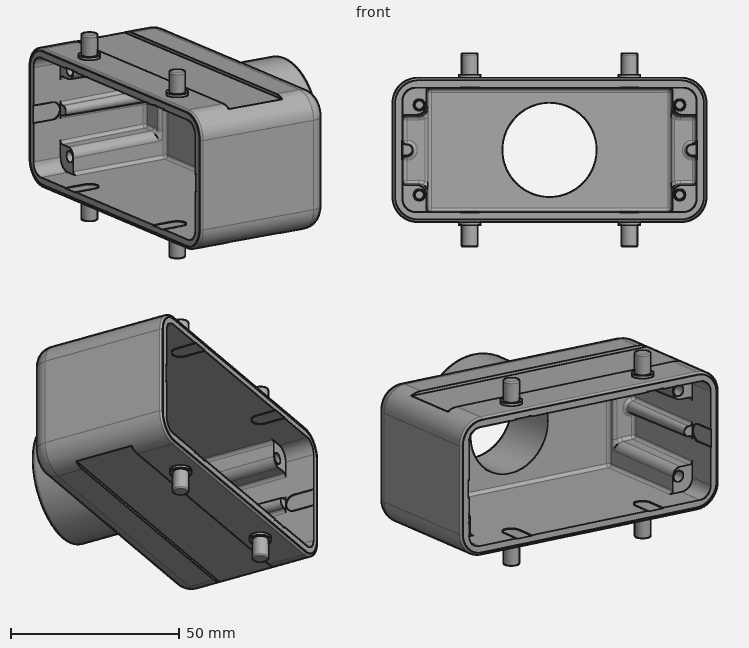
import cadquery as cq
import math

hood_width = 93.5
hood_height = 43.0
hood_depth = 45.0
corner_radius = 7.7
back_radius = 5.0
rim_radius = 0.6
lip_height = 0.2
lip_inset = 0.8

total_depth = 61.0
spout_diameter = 37.0
bore_diameter = 28.0
spout_tip_radius = 0.9
spout_root_radius = 0.8

wall_draft = 0.5
post_draft = 1.0
wall = 3.0
mouth_radius = 3.9
post_face_depth = 9.5
pocket_depth = 39.6
floor_depth = hood_depth - wall
chamber_width = 73.7
pocket_height = 21.3
inner_radius = 1.0
post_radius = 2.7
mouth_width = hood_width - 2 * wall
mouth_height = hood_height - 2 * wall

screw_x = 38.7
screw_z = 13.4
screw_diameter = 3.5
screw_depth = 23.4

rib_x = 42.4
rib_diameter = 3.2
rib_base_diameter = 3.8

total_height = 57.5
pin_x = 23.75
pin_y = 6.7
pin_diameter = 4.9
pin_tip_radius = 0.5
collar_diameter = 6.5
collar_height = 0.8
slot_width = 5.4
slot_recess = 0.2

label_width = 85.3
label_front = 12.8
label_back = 31.7
label_recess = 0.9


def depth_plane(y):
    """Plane across the hood at depth y, extruding toward the back."""
    return cq.Workplane(cq.Plane(origin=(0, y, 0), xDir=(1, 0, 0), normal=(0, 1, 0)))


def drafted_block(width, height, depth):
    """Rectangle at the rim, narrowing with the post draft down to depth."""
    return depth_plane(0).rect(width, height).extrude(depth, taper=post_draft)


def walled_block(depth):
    """Full opening at the rim, narrowing with the wall draft down to depth."""
    opening = cq.Sketch().rect(mouth_width, mouth_height).vertices().fillet(mouth_radius)
    return depth_plane(0).placeSketch(opening).extrude(depth, taper=wall_draft)


def mirrored_x(half):
    """The feature together with its mirror image in X."""
    return half.union(half.mirror("YZ"))


def edges_near(corner_a, corner_b):
    """Select the edges that lie wholly inside a box."""
    return cq.selectors.BoxSelector(corner_a, corner_b, boundingbox=True)


def make_shell():
    """Rounded hood with a raised lip at the rim and the spout blended into its back."""
    hood = depth_plane(lip_height).rect(hood_width, hood_height).extrude(hood_depth - lip_height)
    hood = hood.edges("|Y").fillet(corner_radius)
    hood = hood.faces(">Y").edges().fillet(back_radius)
    hood = hood.faces("<Y").edges().fillet(rim_radius)

    lip_outline = cq.Sketch().rect(hood_width - 2 * lip_inset, hood_height - 2 * lip_inset)
    lip_outline = lip_outline.vertices().fillet(corner_radius - lip_inset)
    lip = depth_plane(0).placeSketch(lip_outline).extrude(2 * lip_height)

    spout_start = hood_depth - back_radius
    spout = depth_plane(spout_start).circle(spout_diameter / 2).extrude(total_depth - spout_start)
    spout = spout.faces(">Y").edges().fillet(spout_tip_radius)

    reach = spout_diameter / 2 + 0.9
    root = edges_near((-reach, spout_start, -reach), (reach, hood_depth + 0.1, reach))
    return hood.union(spout).edges(root).fillet(spout_root_radius).union(lip)


def make_rib():
    """Half-round rib on the right end wall, thickening toward the pocket floor."""
    rib_length = pocket_depth - post_face_depth
    base_radius = rib_base_diameter / 2
    rib_draft = math.degrees(math.atan((rib_base_diameter - rib_diameter) / 2 / rib_length))
    outline = (
        depth_plane(pocket_depth)
        .moveTo(hood_width / 2, base_radius)
        .lineTo(rib_x, base_radius)
        .threePointArc((rib_x - base_radius, 0), (rib_x, -base_radius))
        .lineTo(hood_width / 2, -base_radius)
        .close()
    )
    return outline.extrude(-rib_length, taper=rib_draft)


def make_cavity():
    """Solid to remove from inside the hood; what it leaves are the posts, ledges and ribs."""
    chamber = walled_block(floor_depth).intersect(drafted_block(chamber_width, hood_height, floor_depth))
    chamber = chamber.edges("not(<Y or >Y)").fillet(inner_radius)
    chamber = chamber.faces(">Y").edges().fillet(inner_radius)
    pockets = walled_block(pocket_depth).intersect(drafted_block(hood_width, pocket_height, pocket_depth))
    pockets = pockets.edges("not(<Y or >Y)").fillet(inner_radius)
    cavity = chamber.union(pockets)

    x, z = chamber_width / 2, pocket_height / 2
    for side_x in (-1, 1):
        for side_z in (-1, 1):
            post_edge = edges_near(
                (side_x * (x - 0.9), -0.9, side_z * (z - 0.9)),
                (side_x * (x + 0.9), pocket_depth + 0.9, side_z * (z + 0.9)),
            )
            cavity = cavity.edges(post_edge).fillet(post_radius)

    front = depth_plane(0).rect(hood_width, hood_height).extrude(post_face_depth)
    cavity = cavity.cut(front).cut(mirrored_x(make_rib()))
    for side in (-1, 1):
        rib_roots = edges_near(
            (side * (rib_x + 0.9), post_face_depth - 0.1, -rib_diameter),
            (side * hood_width / 2, pocket_depth + 0.1, rib_diameter),
        )
        pocket_floor = edges_near(
            (side * (x - 1.9), pocket_depth - 0.1, -z - post_radius),
            (side * hood_width / 2, pocket_depth + 0.1, z + post_radius),
        )
        cavity = cavity.edges(rib_roots + pocket_floor).fillet(inner_radius)
    return cavity.union(walled_block(post_face_depth))


def make_screw_holes():
    """Blind holes in the post faces, narrowing with the post draft."""
    places = [(sx * screw_x, sz * screw_z) for sx in (-1, 1) for sz in (-1, 1)]
    start = depth_plane(post_face_depth).pushPoints(places).circle(screw_diameter / 2)
    return start.extrude(screw_depth, taper=post_draft)


def at_four_pins(feature):
    """Repeat an upper right feature at all four pin places."""
    pair = mirrored_x(feature)
    return pair.union(pair.mirror("XY"))


def make_label_recesses():
    """Shallow bands to remove from the upper and lower faces."""
    label_height = hood_height - 2 * label_recess
    band = (
        cq.Workplane("XY")
        .box(label_width, label_back - label_front, hood_height)
        .cut(cq.Workplane("XY").box(label_width, label_back - label_front, label_height))
    )
    return band.translate((0, (label_front + label_back) / 2, 0))


def make_pin():
    """Upper right locking pin with its collar, rooted in the wall."""
    base = hood_height / 2 - wall / 2
    top = total_height / 2
    start = cq.Workplane("XY", origin=(pin_x, pin_y, base))
    pin = start.circle(pin_diameter / 2).extrude(top - base).faces(">Z").edges().fillet(pin_tip_radius)
    collar = start.circle(collar_diameter / 2).extrude(hood_height / 2 + collar_height - base)
    return pin.union(collar)


def make_slot(reach):
    """Round-ended slot open at the rim, cut upward to a height of reach."""
    start = cq.Workplane("XY")
    strip = start.center(0, pin_y / 2).rect(slot_width, pin_y).extrude(reach)
    end = start.center(0, pin_y).circle(slot_width / 2).extrude(reach)
    return strip.union(end)


def make_inner_slots():
    """Slots behind the four pins and one in the middle of each end wall."""
    behind_pin = make_slot(mouth_height / 2 + slot_recess).translate((pin_x, 0, 0))
    end_wall = make_slot(mouth_width / 2 + slot_recess).rotate((0, 0, 0), (0, 1, 0), 90)
    return at_four_pins(behind_pin).union(mirrored_x(end_wall))


bore = depth_plane(0).circle(bore_diameter / 2).extrude(total_depth)

result = (
    make_shell()
    .cut(make_cavity())
    .cut(bore)
    .cut(make_label_recesses())
    .cut(make_screw_holes())
    .cut(make_inner_slots())
    .union(at_four_pins(make_pin()))
)